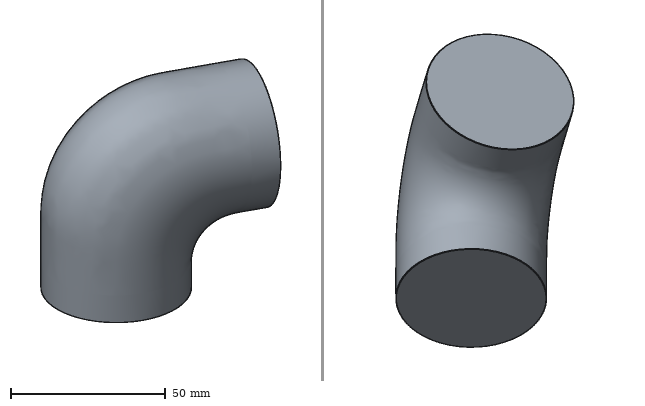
import cadquery as cq
import math

overall = 72.5
diameter = 49.0
collar_length = 10.0
outer_bend_radius = 43.85
rim_chamfer = 0.2
section_count = 37

radius = diameter / 2
axis_offset = overall / 2 - radius
inner_bend_radius = overall - diameter - collar_length
outer_reach = inner_bend_radius + diameter
outer_centre = outer_reach - outer_bend_radius

pivot_y = overall / 2 - collar_length
pivot_z = -pivot_y


def outer_distance(angle):
    """Distance from the pivot to the outer profile along a ray in the bend plane."""
    c, s = math.cos(angle), math.sin(angle)
    if outer_reach * math.tan(angle) <= outer_centre:
        return outer_reach / c
    if outer_reach / math.tan(angle) <= outer_centre:
        return outer_reach / s
    along = outer_centre * (c + s)
    across = outer_centre * (c - s)
    return along + math.sqrt(outer_bend_radius**2 - across**2)


def bend_section(angle):
    """Ellipse of constant width spanning the inner and outer profiles."""
    far = outer_distance(angle)
    middle = (inner_bend_radius + far) / 2
    half_depth = (far - inner_bend_radius) / 2
    c, s = math.cos(angle), math.sin(angle)
    plane = cq.Plane(
        origin=(0, pivot_y - middle * c, pivot_z + middle * s),
        xDir=(0, -c, s),
        normal=(0, s, c),
    )
    return cq.Workplane(plane).ellipse(half_depth, radius).wires().val()


def collar(origin, outward):
    """Straight round collar with a chamfered open rim."""
    plane = cq.Plane(origin=origin, xDir=(1, 0, 0), normal=outward)
    body = cq.Workplane(plane).circle(radius).extrude(collar_length)
    return body.faces(cq.selectors.DirectionMinMaxSelector(cq.Vector(*outward))).chamfer(rim_chamfer)


angles = [i * math.pi / 2 / (section_count - 1) for i in range(section_count)]
bend = cq.Workplane(obj=cq.Solid.makeLoft([bend_section(a) for a in angles]))

lower_collar = collar((0, -axis_offset, pivot_z), (0, 0, -1))
rear_collar = collar((0, pivot_y, axis_offset), (0, 1, 0))

result = bend.union(lower_collar).union(rear_collar)